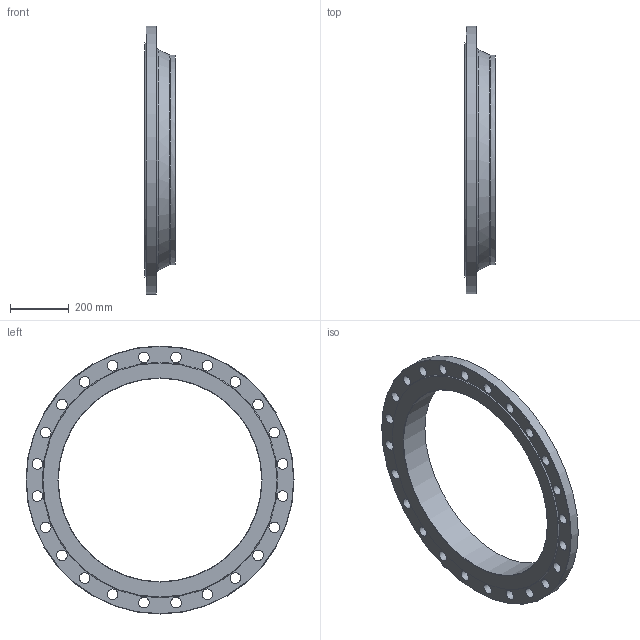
import cadquery as cq

outer_diameter = 910.0
bore_diameter = 691.2
neck_end_diameter = 711.2
hub_diameter = 755.0
raised_face_diameter = 795.0
raised_face_base_diameter = 799.5

overall_length = 104.0
raised_face_height = 5.0
flange_thickness = 40.0
neck_end_length = 18.0
hub_root_fillet = 15.0
neck_fillet = 12.0
rim_chamfer = 1.0
bore_chamfer = 1.0

bolt_count = 24
bolt_hole_diameter = 36.0
bolt_circle_diameter = 840.0

select_margin = 0.5


def rim(position, radius):
    """Selector for the circular edges up to a given radius at a position along the axis."""
    corner = (position - select_margin, -radius - select_margin, -radius - select_margin)
    opposite = (position + select_margin, radius + select_margin, radius + select_margin)
    return cq.selectors.BoxSelector(corner, opposite, boundingbox=True)


def flange_body():
    """Revolve the half section (X along the axis, Y as radius) about X, then round the cone ends."""
    bore_radius = bore_diameter / 2
    outer_radius = outer_diameter / 2
    raised_face_radius = raised_face_diameter / 2
    raised_face_base_radius = raised_face_base_diameter / 2
    hub_radius = hub_diameter / 2
    neck_radius = neck_end_diameter / 2
    cone_end = overall_length - neck_end_length
    section = [
        (bore_chamfer, bore_radius),
        (0, bore_radius + bore_chamfer),
        (0, raised_face_radius),
        (raised_face_height, raised_face_base_radius),
        (raised_face_height, outer_radius - rim_chamfer),
        (raised_face_height + rim_chamfer, outer_radius),
        (flange_thickness, outer_radius),
        (flange_thickness, hub_radius),
        (cone_end, neck_radius),
        (overall_length, neck_radius),
        (overall_length, bore_radius),
    ]
    body = cq.Workplane("XY").polyline(section).close().revolve(360, (0, 0, 0), (1, 0, 0))
    body = body.edges(rim(flange_thickness, hub_radius)).fillet(hub_root_fillet)
    return body.edges(rim(cone_end, neck_radius)).fillet(neck_fillet)


def bolt_holes():
    """Through-hole cutters on the bolt circle, straddling the Y and Z axes."""
    half_pitch = 360 / bolt_count / 2
    return (
        cq.Workplane("YZ")
        .polarArray(bolt_circle_diameter / 2, half_pitch, 360, bolt_count)
        .circle(bolt_hole_diameter / 2)
        .extrude(overall_length)
    )


result = flange_body().cut(bolt_holes())